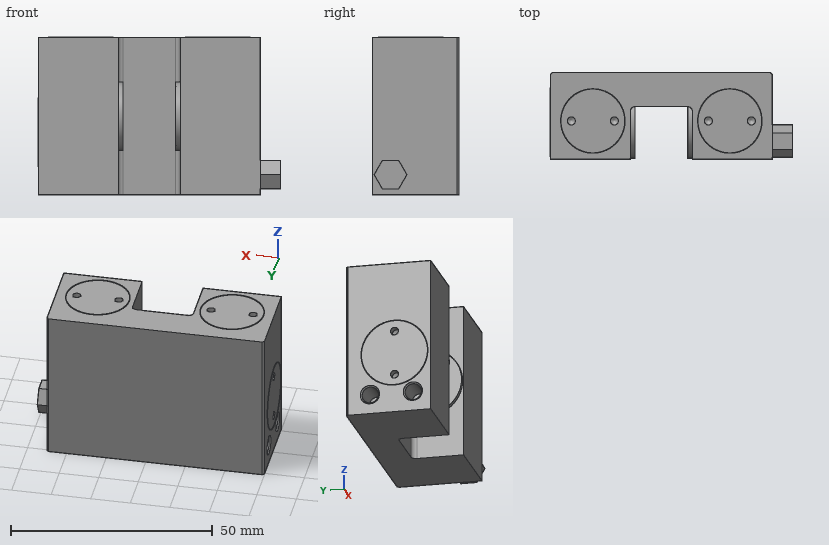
import cadquery as cq
import math

OVERALL_LENGTH = 60.1
LENGTH = 55.0
DEPTH = 21.5
HEIGHT = 39.0
REAR_CHAMFER = 0.5

SLOT_WIDTH = 15.4
SLOT_DEPTH = 13.05
SLOT_FILLET = 1.2

PISTON_DIAMETER = 17.0
PISTON_PROTRUSION = SLOT_FILLET
PISTON_Y = 8.7
PISTON_Z = HEIGHT / 2

RIM_RISE = 0.1
RIM_WIDTH = 0.09
TOP_CAP_DIAMETER = 16.0
TOP_CAP_INSET = 10.5
TOP_CAP_Y = 9.5
SIDE_CAP_DIAMETER = PISTON_DIAMETER
SIDE_CAP_Y = 9.2
SIDE_CAP_Z = 15.5

SPANNER_HOLE_DIAMETER = 2.0
SPANNER_HOLE_DEPTH = 2.0
DRILL_POINT_ANGLE = 118
SPANNER_SPACING_RATIO = 2 / 3

PORT_DIAMETER = 4.15
PORT_MOUTH_DIAMETER = 4.85
PORT_DEPTH = 8.0
PORT_Z = 5.0
PORT_A_Y = 4.5
PORT_B_Y = 15.45

PLUG_ACROSS_FLATS = 7.05
PLUG_LENGTH = OVERALL_LENGTH - RIM_RISE - LENGTH


def turned(profile, center, direction):
    """Revolve (radius, height) points about an axis through center along direction."""
    solid = cq.Workplane("XZ").polyline(profile).close().revolve(360, (0, 0), (0, 1)).val()
    plane = cq.Plane(origin=center, xDir=(0, 1, 0), normal=direction)
    return cq.Workplane(solid.moved(cq.Location(plane)))


def make_block():
    block = cq.Workplane("XY").box(LENGTH, DEPTH, HEIGHT, centered=False)
    block = block.faces(">Y").edges("|Z").chamfer(REAR_CHAMFER)
    slot = (
        cq.Workplane("XY")
        .box(SLOT_WIDTH, SLOT_DEPTH, HEIGHT, centered=(True, False, False))
        .faces(">Y")
        .edges("|Z")
        .fillet(SLOT_FILLET)
        .translate((LENGTH / 2, 0, 0))
    )
    return block.cut(slot)


def add_pistons(body):
    piston = (
        cq.Workplane("YZ")
        .center(PISTON_Y, PISTON_Z)
        .circle(PISTON_DIAMETER / 2)
        .extrude(PISTON_PROTRUSION)
    )
    left_wall = (LENGTH - SLOT_WIDTH) / 2
    right_wall = left_wall + SLOT_WIDTH
    for start in (left_wall, right_wall - PISTON_PROTRUSION):
        body = body.union(piston.translate((start, 0, 0)))
    return body


def add_cap(body, center, outward, hole_axis, diameter):
    """Add the raised rim of a cap at center and drill its two holes, spaced along hole_axis."""
    radius = diameter / 2
    inner_radius = radius - RIM_WIDTH
    rim = [(inner_radius, 0), (radius, 0), (radius, RIM_RISE), (inner_radius, RIM_RISE)]
    body = body.union(turned(rim, center, outward))

    hole_radius = SPANNER_HOLE_DIAMETER / 2
    point_length = hole_radius / math.tan(math.radians(DRILL_POINT_ANGLE / 2))
    drill = [
        (0, 0),
        (hole_radius, 0),
        (hole_radius, -SPANNER_HOLE_DEPTH),
        (0, -SPANNER_HOLE_DEPTH - point_length),
    ]
    offset = cq.Vector(*hole_axis) * (diameter * SPANNER_SPACING_RATIO / 2)
    for hole_center in (cq.Vector(*center) + offset, cq.Vector(*center) - offset):
        body = body.cut(turned(drill, hole_center, outward))
    return body


def cut_ports(body):
    radius = PORT_DIAMETER / 2
    mouth_radius = PORT_MOUTH_DIAMETER / 2
    countersink = mouth_radius - radius
    bore = [(0, 0), (mouth_radius, 0), (radius, -countersink), (radius, -PORT_DEPTH), (0, -PORT_DEPTH)]
    for y in (PORT_A_Y, PORT_B_Y):
        body = body.cut(turned(bore, (0, y, PORT_Z), (-1, 0, 0)))
    return body


def make_housing():
    body = add_pistons(make_block())
    for x in (TOP_CAP_INSET, LENGTH - TOP_CAP_INSET):
        body = add_cap(body, (x, TOP_CAP_Y, HEIGHT), (0, 0, 1), (1, 0, 0), TOP_CAP_DIAMETER)
    body = add_cap(body, (0, SIDE_CAP_Y, SIDE_CAP_Z), (-1, 0, 0), (0, 0, 1), SIDE_CAP_DIAMETER)
    return cut_ports(body)


def make_plug():
    """Hexagonal prism with flats at top and bottom and corners at front and rear."""
    across_corners = PLUG_ACROSS_FLATS / math.cos(math.radians(30))
    return (
        cq.Workplane("YZ", origin=(LENGTH, PORT_A_Y, PORT_Z))
        .polygon(6, across_corners)
        .extrude(PLUG_LENGTH)
    )


housing = make_housing()
plug = make_plug()
result = cq.Compound.makeCompound([housing.val(), plug.val()])